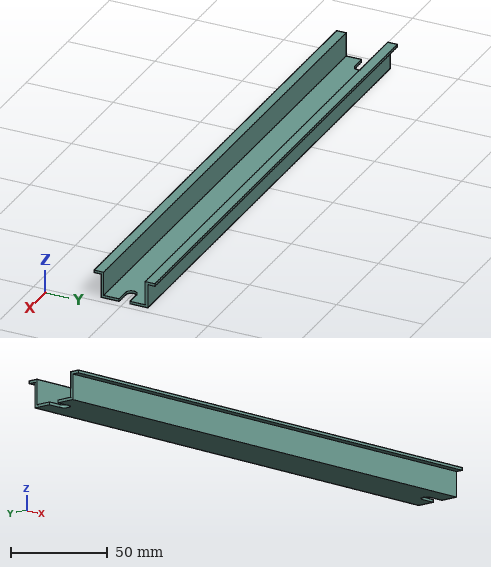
import cadquery as cq

length = 291.0
overall_width = 35.0
height = 15.0
channel_inner_width = 24.0
sheet = 1.5
slot_width = 6.0
slot_depth = 11.0

half_width = overall_width / 2
half_inner = channel_inner_width / 2
half_outer = half_inner + sheet


def top_hat_rail():
    """Open channel with an outward flange along the top of each wall."""
    half_outline = [
        (half_outer, 0),
        (half_outer, height - sheet),
        (half_width, height - sheet),
        (half_width, height),
        (half_inner, height),
        (half_inner, sheet),
    ]
    mirrored_outline = [(-y, z) for y, z in reversed(half_outline)]
    return (
        cq.Workplane("YZ")
        .polyline(half_outline + mirrored_outline)
        .close()
        .extrude(length / 2, both=True)
    )


def end_slot(side):
    """Round-nosed slot through the floor, open at the end on the given side (-1 or 1)."""
    return (
        cq.Workplane("XY")
        .center(side * length / 2, 0)
        .slot2D(2 * slot_depth, slot_width)
        .extrude(sheet)
    )


result = top_hat_rail()
for side in (-1, 1):
    result = result.cut(end_slot(side))